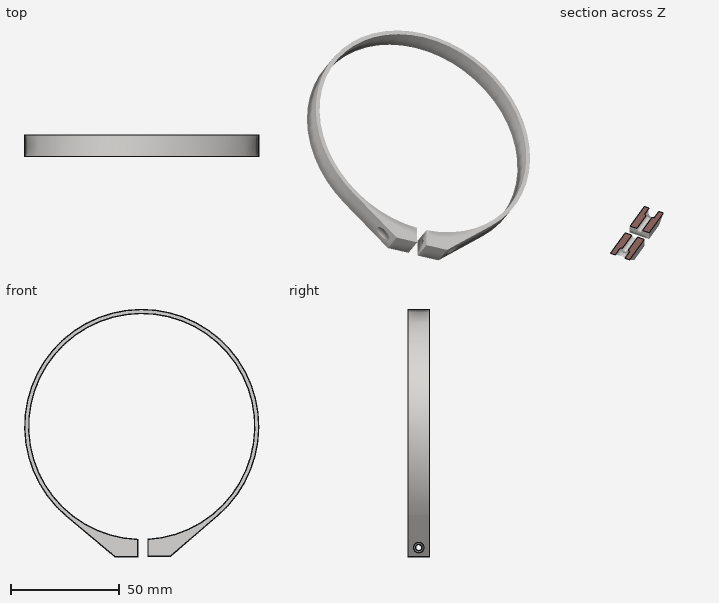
import cadquery as cq
import math

outer_radius = 53.8
wall = 1.9
inner_radius = outer_radius - wall
width = 10.0

left_lug_bottom = -60.0
right_lug_bottom = -59.6
gap_left = -1.8
gap_right = 2.8
lug_foot = 10.4

hole_z = -55.6
hole_diameter = 2.7
counterbore_diameter = 4.8
counterbore_floor_depth = 10.2


def slope_start(corner_x, corner_z):
    """Point where the line from a lug corner touches the outer circle."""
    side = math.copysign(1, corner_x)
    corner_distance = math.hypot(corner_x, corner_z)
    angle_from_bottom = math.atan2(abs(corner_x), -corner_z) + math.acos(outer_radius / corner_distance)
    return side * outer_radius * math.sin(angle_from_bottom), -outer_radius * math.cos(angle_from_bottom)


def inner_edge(x):
    """Point on the lower half of the inner circle."""
    return x, -math.sqrt(inner_radius**2 - x**2)


def clamp_body():
    left_corner = (gap_left - lug_foot, left_lug_bottom)
    right_corner = (gap_right + lug_foot, right_lug_bottom)
    return (
        cq.Workplane("XZ", origin=(0, width / 2, 0))
        .moveTo(gap_left, left_lug_bottom)
        .lineTo(*left_corner)
        .lineTo(*slope_start(*left_corner))
        .threePointArc((0, outer_radius), slope_start(*right_corner))
        .lineTo(*right_corner)
        .lineTo(gap_right, right_lug_bottom)
        .lineTo(*inner_edge(gap_right))
        .threePointArc((0, inner_radius), inner_edge(gap_left))
        .close()
        .extrude(width)
    )


def cylinder_along_x(diameter, start, end):
    plane = cq.Workplane("YZ", origin=(start, 0, hole_z))
    return plane.circle(diameter / 2).extrude(end - start)


result = clamp_body().cut(cylinder_along_x(hole_diameter, -outer_radius, outer_radius))
for side, gap_face in ((-1, gap_left), (1, gap_right)):
    floor_x = gap_face + side * counterbore_floor_depth
    result = result.cut(cylinder_along_x(counterbore_diameter, floor_x, side * outer_radius))